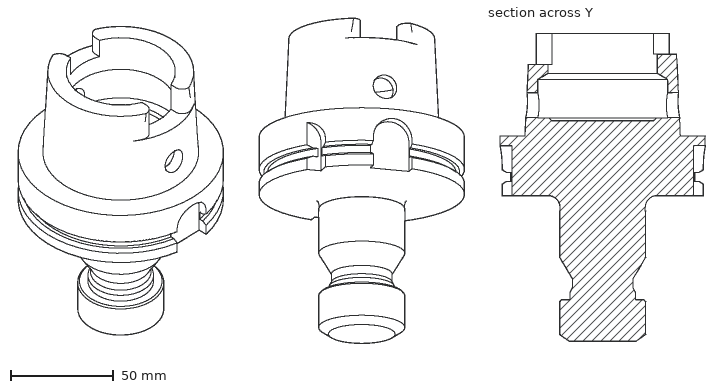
import cadquery as cq
import math

total_height = 149.9
taper_base_z = 100.0
flange_bottom_z = 70.9
shank_top_z = 63.4
shank_bottom_z = 40.9
neck_top_z = 30.5

taper_base_radius = 37.9
taper_tip_radius = 35.5

flange_radius = 100.0 / 2
groove_radius = 45.9
groove_top_z = 82.1
groove_bottom_z = 78.0
groove_lip_height = 1.3
groove_lip_width = 2.2

shank_radius = 42.0 / 2
relief_radius = 41.7 / 2
relief_fillet = 5.7
neck_radius = 29.5 / 2
collar_radius = 32.0 / 2
collar_round_bottom_z = 24.0
collar_round_top_z = 26.2
nut_radius = shank_radius
nut_top_z = 20.4
nut_top_chamfer = 0.9
nut_bottom_chamfer_height = 3.3
nut_face_radius = 16.2

bore_radius = 53.0 / 2
bore_depth = 19.5
chamber_radius = 63.1 / 2
clamp_angle = 60.0
chamber_floor_z = 108.8
recess_radius = 26.2
recess_floor_radius = 24.9
recess_depth = recess_radius - recess_floor_radius

cross_hole_diameter = 12.0
cross_hole_z = 115.0
tip_slot_half_width = 9.9
tip_slot_shoulder_x = 32.4
tip_slot_corner_radius = 4.6
left_slot_depth = 10.0
right_slot_depth = 15.1

keyway_radius = 9.9
keyway_top_z = 95.2
drive_keyway_x = 44.2
notch_center_y = 41.0
notch_floor_x = 32.1

CUT_REACH = 60.0


def make_body():
    arc_middle = relief_fillet * (1 - math.sqrt(0.5))
    relief_top_z = flange_bottom_z - relief_fillet
    relief_bottom_z = shank_top_z + shank_radius - relief_radius
    return (
        cq.Workplane("XZ")
        .lineTo(nut_face_radius, 0)
        .lineTo(nut_radius, nut_bottom_chamfer_height)
        .lineTo(nut_radius, nut_top_z - nut_top_chamfer)
        .lineTo(nut_radius - nut_top_chamfer, nut_top_z)
        .lineTo(collar_radius, nut_top_z)
        .lineTo(collar_radius, collar_round_bottom_z)
        .lineTo(neck_radius, collar_round_top_z)
        .lineTo(neck_radius, neck_top_z)
        .lineTo(shank_radius, shank_bottom_z)
        .lineTo(shank_radius, shank_top_z)
        .lineTo(relief_radius, relief_bottom_z)
        .lineTo(relief_radius, relief_top_z)
        .threePointArc(
            (relief_radius + arc_middle, flange_bottom_z - arc_middle),
            (relief_radius + relief_fillet, flange_bottom_z),
        )
        .lineTo(flange_radius, flange_bottom_z)
        .lineTo(flange_radius, groove_bottom_z - groove_lip_height)
        .lineTo(flange_radius - groove_lip_width, groove_bottom_z)
        .lineTo(groove_radius, groove_bottom_z)
        .lineTo(groove_radius, groove_top_z)
        .lineTo(flange_radius - groove_lip_width, groove_top_z)
        .lineTo(flange_radius, groove_top_z + groove_lip_height)
        .lineTo(flange_radius, taper_base_z)
        .lineTo(taper_base_radius, taper_base_z)
        .lineTo(taper_tip_radius, total_height)
        .lineTo(0, total_height)
        .close()
        .revolve(360, (0, 0), (0, 1))
    )


def make_cavity():
    bore_bottom_z = total_height - bore_depth
    shoulder_height = (chamber_radius - bore_radius) / math.tan(math.radians(clamp_angle))
    recess_floor_z = chamber_floor_z - recess_depth
    return (
        cq.Workplane("XZ", origin=(0, 0, recess_floor_z))
        .lineTo(recess_floor_radius, 0)
        .lineTo(recess_radius, recess_depth)
        .lineTo(chamber_radius, recess_depth)
        .lineTo(chamber_radius, bore_bottom_z - shoulder_height - recess_floor_z)
        .lineTo(bore_radius, bore_bottom_z - recess_floor_z)
        .lineTo(bore_radius, total_height - recess_floor_z)
        .lineTo(0, total_height - recess_floor_z)
        .close()
        .revolve(360, (0, 0), (0, 1))
    )


def make_tip_slot(side, depth):
    """Slot cutter on the +X (side = 1) or -X (side = -1) wall of the taper.

    Each remaining wall end is rounded by an arc that turns until it is square to the
    radial direction, then runs off along its tangent to blend with the taper surface.
    """
    half_width = tip_slot_half_width
    corner = tip_slot_corner_radius
    center_x = tip_slot_shoulder_x - corner
    center_y = half_width + corner
    end_angle = math.atan2(center_y, center_x)
    middle_angle = (end_angle - math.pi / 2) / 2
    arc_end_x = center_x + corner * math.cos(end_angle)
    arc_end_y = center_y + corner * math.sin(end_angle)
    arc_middle_x = center_x + corner * math.cos(middle_angle)
    arc_middle_y = center_y + corner * math.sin(middle_angle)
    tangent_x = arc_end_x - CUT_REACH * math.sin(end_angle)
    tangent_y = arc_end_y + CUT_REACH * math.cos(end_angle)
    cutter = (
        cq.Workplane("XY", origin=(0, 0, total_height - depth))
        .moveTo(0, -half_width)
        .lineTo(center_x, -half_width)
        .threePointArc((arc_middle_x, -arc_middle_y), (arc_end_x, -arc_end_y))
        .lineTo(tangent_x, -tangent_y)
        .lineTo(CUT_REACH, -tangent_y)
        .lineTo(CUT_REACH, tangent_y)
        .lineTo(tangent_x, tangent_y)
        .lineTo(arc_end_x, arc_end_y)
        .threePointArc((arc_middle_x, arc_middle_y), (center_x, half_width))
        .lineTo(0, half_width)
        .close()
        .extrude(depth)
    )
    return cutter if side > 0 else cutter.mirror("YZ")


def make_keyway(side, floor_x, center_y):
    """Round-topped cutter, open downward, removing material beyond floor_x on one side."""
    arc_center_z = keyway_top_z - keyway_radius
    return (
        cq.Workplane("YZ", origin=(side * floor_x, 0, 0))
        .moveTo(center_y - keyway_radius, flange_bottom_z)
        .lineTo(center_y - keyway_radius, arc_center_z)
        .threePointArc((center_y, keyway_top_z), (center_y + keyway_radius, arc_center_z))
        .lineTo(center_y + keyway_radius, flange_bottom_z)
        .close()
        .extrude(side * CUT_REACH)
    )


cross_hole = (
    cq.Workplane("YZ", origin=(0, 0, cross_hole_z))
    .circle(cross_hole_diameter / 2)
    .extrude(CUT_REACH, both=True)
)

result = make_body().cut(make_cavity()).cut(cross_hole)
for side, slot_depth in ((-1, left_slot_depth), (1, right_slot_depth)):
    result = result.cut(make_tip_slot(side, slot_depth))
    result = result.cut(make_keyway(side, drive_keyway_x, 0))
result = result.cut(make_keyway(-1, notch_floor_x, notch_center_y))